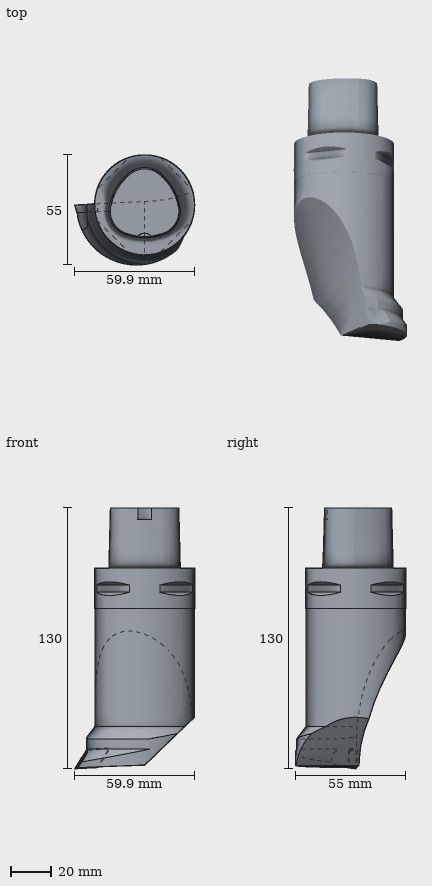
import cadquery as cq
import math


SHANK_LENGTH = 30.0
SHANK_TAPER = math.degrees(math.atan(1 / 40))
LOBE_REACH = 18.7
SIDE_REACH = 16.5
LOBE_RADIUS = 12.4
NOTCH_RADIUS = 4.5
NOTCH_DEPTH = 5.8
NOTCH_REACH = 14.1

FLANGE_RADIUS = 25.0
FLANGE_HEIGHT = 20.0
BODY_RADIUS = 49.7 / 2
GROOVE_COUNT = 4
GROOVE_Z = -10.2
GROOVE_FLOOR_REACH = 22.2
GROOVE_FLOOR_HEIGHT = 3.5
GROOVE_MOUTH_HEIGHT = 6.8

SHOULDER_Z = -79.0
RING_TOP_Z = -85.0
RING_BOTTOM_Z = -90.2
RING_RADIUS = 29.4
FLARE_ANGLE = 34.0
HEAD_RADIUS = 30.0
HEAD_CENTER_X = -4.0
BOTTOM_TILT = 2.0
BOTTOM_Z = -98.2
BACK_CUT_TOP_Z = -74.1

TIP_X = -34.9
TIP_Z = -100.0
INSERT_SIDE = 11.6
INSERT_ANGLE = 55.0
INSERT_THICKNESS = 3.97
INSERT_RELIEF = 7.0
INSERT_LEAD = 3.0
RAKE_YAW = 2.8
CUTTING_EDGE_ANGLE = INSERT_LEAD + INSERT_ANGLE

RING_FLAT_X = -28.9
CLEARANCE_INSET = 0.85
CLEARANCE_BLEND = 3.7

GULLET_PITCH = 17.7
GULLET_RADIUS = 84.3
GULLET_FLAT = 16.9

BIG = 100.0


def on_circle(center, radius, degrees):
    angle = math.radians(degrees)
    return (center[0] + radius * math.cos(angle), center[1] + radius * math.sin(angle))


def make_shank():
    """Three-lobed taper made of six tangent arcs, with a lobe toward +Y."""
    lobe_offset = LOBE_REACH - LOBE_RADIUS
    side_radius = (
        (LOBE_RADIUS**2 - SIDE_REACH**2 + SIDE_REACH * lobe_offset - lobe_offset**2)
        / (lobe_offset + 2 * LOBE_RADIUS - 2 * SIDE_REACH)
    )
    side_offset = side_radius - SIDE_REACH
    half_side = math.degrees(math.atan2(
        lobe_offset * math.sin(math.radians(60)),
        side_offset + lobe_offset * math.cos(math.radians(60)),
    ))
    outline = None
    for lobe_angle in (90, 210, 330):
        lobe_center = on_circle((0, 0), lobe_offset, lobe_angle)
        side_angle = lobe_angle + 60
        side_center = on_circle((0, 0), side_offset, side_angle + 180)
        if outline is None:
            start = on_circle(lobe_center, LOBE_RADIUS, lobe_angle - 60 + half_side)
            outline = cq.Workplane("XY").moveTo(*start)
        outline = outline.threePointArc(
            on_circle(lobe_center, LOBE_RADIUS, lobe_angle),
            on_circle(side_center, side_radius, side_angle - half_side),
        ).threePointArc(
            on_circle(side_center, side_radius, side_angle),
            on_circle(side_center, side_radius, side_angle + half_side),
        )
    shank = outline.close().extrude(SHANK_LENGTH, taper=SHANK_TAPER)
    notch = (
        cq.Workplane("XY", origin=(0, 0, SHANK_LENGTH - NOTCH_DEPTH))
        .center(0, -NOTCH_REACH - NOTCH_RADIUS)
        .circle(NOTCH_RADIUS)
        .extrude(NOTCH_DEPTH)
    )
    return shank.cut(notch)


def make_flange():
    """Flange disc with four gripper grooves on the diagonals."""
    flange = cq.Workplane("XY").circle(FLANGE_RADIUS).extrude(-FLANGE_HEIGHT)
    groove = (
        cq.Workplane("XZ", origin=(0, 0, GROOVE_Z))
        .moveTo(GROOVE_FLOOR_REACH, -GROOVE_FLOOR_HEIGHT / 2)
        .lineTo(FLANGE_RADIUS, -GROOVE_MOUTH_HEIGHT / 2)
        .lineTo(FLANGE_RADIUS, GROOVE_MOUTH_HEIGHT / 2)
        .lineTo(GROOVE_FLOOR_REACH, GROOVE_FLOOR_HEIGHT / 2)
        .close()
        .extrude(FLANGE_RADIUS, both=True)
    )
    step = 360 / GROOVE_COUNT
    for index in range(GROOVE_COUNT):
        flange = flange.cut(groove.rotate((0, 0, 0), (0, 0, 1), (index + 0.5) * step))
    return flange


def make_body():
    """Plain cylinder between the flange and the head shoulder."""
    return (
        cq.Workplane("XY", origin=(0, 0, SHOULDER_Z))
        .circle(BODY_RADIUS)
        .extrude(-FLANGE_HEIGHT - SHOULDER_Z)
    )


def make_head():
    """Shouldered, flared head trimmed by an offset cylinder, a tilted bottom and the clearance."""
    flare_radius = RING_RADIUS + (RING_BOTTOM_Z - TIP_Z) * math.tan(math.radians(FLARE_ANGLE))
    head = (
        cq.Workplane("XZ")
        .moveTo(0, SHOULDER_Z)
        .lineTo(BODY_RADIUS, SHOULDER_Z)
        .lineTo(RING_RADIUS, RING_TOP_Z)
        .lineTo(RING_RADIUS, RING_BOTTOM_Z)
        .lineTo(flare_radius, TIP_Z)
        .lineTo(0, TIP_Z)
        .close()
        .revolve(360, (0, 0, 0), (0, 1, 0))
    )
    envelope = (
        cq.Workplane("XY", origin=(HEAD_CENTER_X, 0, TIP_Z))
        .circle(HEAD_RADIUS)
        .extrude(SHOULDER_Z - TIP_Z)
    )
    below = (
        cq.Workplane("XY")
        .box(2 * BIG, 2 * BIG, BIG, centered=(True, True, False))
        .translate((0, 0, -BIG))
        .rotate((0, 0, 0), (0, 1, 0), -BOTTOM_TILT)
        .translate((0, 0, BOTTOM_Z))
    )
    return head.intersect(envelope).cut(below).cut(make_clearance())


def make_clearance():
    """Cutter for the ring flat and the flank clearance, blended and square to the rake face."""
    edge_slope = 1 / math.tan(math.radians(CUTTING_EDGE_ANGLE))
    foot_x = TIP_X + CLEARANCE_INSET
    kink_z = TIP_Z + (RING_FLAT_X - foot_x) / edge_slope
    low_z = TIP_Z - 1
    return (
        cq.Workplane("XZ")
        .moveTo(RING_FLAT_X, SHOULDER_Z)
        .lineTo(RING_FLAT_X, kink_z)
        .lineTo(foot_x - edge_slope, low_z)
        .lineTo(-BIG, low_z)
        .lineTo(-BIG, SHOULDER_Z)
        .close()
        .extrude(BIG, both=True)
        .edges(cq.selectors.NearestToPointSelector((RING_FLAT_X, 0, kink_z)))
        .fillet(CLEARANCE_BLEND)
        .rotate((TIP_X, 0, 0), (TIP_X, 0, 1), RAKE_YAW)
    )


def make_gullet():
    """Chip gullet: flat on the insert's top plane, then rising in an arc to the body side."""
    mid_angle = math.radians(45)
    arc_mid = (
        GULLET_RADIUS * (1 - math.cos(mid_angle)),
        GULLET_FLAT + GULLET_RADIUS * math.sin(mid_angle),
    )
    return (
        cq.Workplane("YZ")
        .moveTo(0, -BIG)
        .lineTo(0, GULLET_FLAT)
        .threePointArc(arc_mid, (GULLET_RADIUS, GULLET_FLAT + GULLET_RADIUS))
        .lineTo(GULLET_RADIUS, -BIG)
        .close()
        .extrude(BIG, both=True)
        .rotate((0, 0, 0), (0, 1, 0), GULLET_PITCH)
        .rotate((0, 0, 0), (0, 0, 1), RAKE_YAW)
        .translate((TIP_X, 0, TIP_Z))
    )


def make_back_cut():
    """Slanted cut from the body side down to the head bottom on the axis."""
    slope = (BACK_CUT_TOP_Z - BOTTOM_Z) / FLANGE_RADIUS
    return (
        cq.Workplane("XZ")
        .moveTo(-FLANGE_RADIUS, BOTTOM_Z - slope * FLANGE_RADIUS)
        .lineTo(2 * FLANGE_RADIUS, BOTTOM_Z + 2 * slope * FLANGE_RADIUS)
        .lineTo(2 * FLANGE_RADIUS, BOTTOM_Z - slope * FLANGE_RADIUS)
        .close()
        .extrude(BIG, both=True)
    )


def make_insert():
    """Rhombic insert, tip at the lower left, thinning away from its top face."""
    lower = on_circle((0, 0), INSERT_SIDE, INSERT_LEAD)
    upper = on_circle((0, 0), INSERT_SIDE, CUTTING_EDGE_ANGLE)
    return (
        cq.Workplane("XZ")
        .polyline([(0, 0), lower, (lower[0] + upper[0], lower[1] + upper[1]), upper])
        .close()
        .extrude(INSERT_THICKNESS, taper=INSERT_RELIEF)
        .rotate((0, 0, 0), (0, 0, 1), RAKE_YAW)
        .translate((TIP_X, 0, TIP_Z))
    )


insert = make_insert()
holder = (
    make_shank()
    .union(make_flange())
    .union(make_body())
    .union(make_head())
    .cut(make_gullet())
    .cut(make_back_cut())
    .cut(insert)
)

result = cq.Compound.makeCompound([holder.val(), insert.val()])